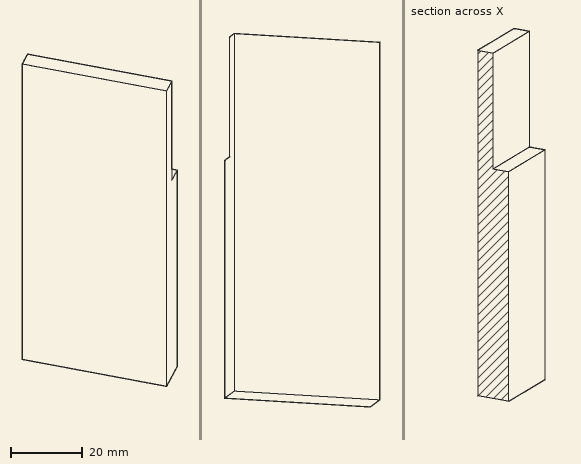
import cadquery as cq

width = 42.5
height = 102.8
thickness = 10.0
thin_thickness = thickness / 2
step_height = 68.3

front_y = -thickness / 2
back_y = thickness / 2
thin_back_y = front_y + thin_thickness

result = (
    cq.Workplane("YZ")
    .moveTo(front_y, 0)
    .lineTo(back_y, 0)
    .lineTo(back_y, step_height)
    .lineTo(thin_back_y, step_height)
    .lineTo(thin_back_y, height)
    .lineTo(front_y, height)
    .close()
    .extrude(width / 2, both=True)
)